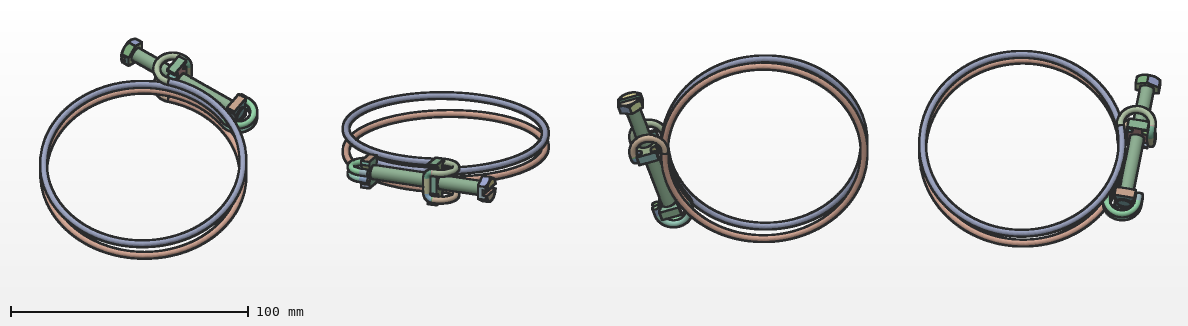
import cadquery as cq
import math


WIRE_DIAMETER = 3.0
WIRE_RADIUS = WIRE_DIAMETER / 2
RING_OUTER_RADIUS = 43.5
RING_RADIUS = RING_OUTER_RADIUS - WIRE_RADIUS
RING_END_HEIGHT = WIRE_RADIUS

HOOK_CENTER_X = 16.7
BACK_Y = 54.0
SEAT_Y = BACK_Y - WIRE_RADIUS
LEFT_HOOK_HEIGHT = 6.0
CROSSBAR_X = -13.45
CROSSBAR_BEND = 2.6
RIGHT_WIRE_END_X = 13.1

HOOK_RADIUS = (HOOK_CENTER_X**2 + SEAT_Y**2 - RING_RADIUS**2) / (2 * (RING_RADIUS + SEAT_Y))
HOOK_CENTER_Y = SEAT_Y - HOOK_RADIUS
JOINT_ANGLE = math.degrees(math.atan2(HOOK_CENTER_Y, HOOK_CENTER_X))
JOINT_X = RING_RADIUS * math.cos(math.radians(JOINT_ANGLE))
JOINT_Y = RING_RADIUS * math.sin(math.radians(JOINT_ANGLE))

SCREW_Y = 46.7
SHANK_RADIUS = 3.0
SHANK_END_X = 17.7
HEAD_FACE_X = -40.5
HEAD_THICKNESS = 4.1
HEAD_ACROSS_FLATS = 9.9
HEAD_FACE_RADIUS = 4.9
HEAD_CHAMFER = 0.8
SLOT_WIDTH = 2.3
SLOT_DEPTH = HEAD_THICKNESS / 2

BLOCK_WIDTH = 8.6
LEFT_BLOCK_X = -15.3
LEFT_BLOCK_THICKNESS = 4.0
LEFT_BLOCK_HEIGHT = 18.0
GROOVE_RADIUS = 1.95
GROOVE_CENTER_DEPTH = 0.4
RIGHT_BLOCK_X = 15.3
RIGHT_BLOCK_THICKNESS = 3.8
RIGHT_BLOCK_HEIGHT = 12.0
HOLLOW_HEIGHT = 8.6
HOLLOW_DEPTH = 1.0


def make_screw():
    """Slotted hexagon-head screw."""
    head_back_x = HEAD_FACE_X + HEAD_THICKNESS
    corner_radius = HEAD_ACROSS_FLATS / math.sqrt(3)
    head = (
        cq.Workplane("YZ", origin=(HEAD_FACE_X, SCREW_Y, 0))
        .transformed(rotate=(0, 0, 90))
        .polygon(6, 2 * corner_radius)
        .extrude(HEAD_THICKNESS)
    )
    envelope = (
        cq.Workplane("YZ", origin=(HEAD_FACE_X, SCREW_Y, 0))
        .circle(corner_radius)
        .extrude(HEAD_THICKNESS)
        .faces("<X")
        .chamfer(HEAD_CHAMFER, corner_radius - HEAD_FACE_RADIUS)
    )
    slot = cq.Workplane("XY").box(2 * SLOT_DEPTH, 2 * HEAD_ACROSS_FLATS, SLOT_WIDTH)
    slot = slot.translate((HEAD_FACE_X, SCREW_Y, 0))
    shank = (
        cq.Workplane("YZ", origin=(head_back_x, SCREW_Y, 0))
        .circle(SHANK_RADIUS)
        .extrude(SHANK_END_X - head_back_x)
    )
    return head.intersect(envelope).cut(slot).union(shank)


def make_drilled_block(center_x, thickness, height):
    """Rectangular block with the screw hole along X."""
    return (
        cq.Workplane("XY")
        .box(thickness, BLOCK_WIDTH, height)
        .faces(">X")
        .workplane()
        .hole(2 * SHANK_RADIUS)
        .translate((center_x, SCREW_Y, 0))
    )


def make_left_block():
    """Tall block with a round-bottomed groove on each side of both ends."""
    block = make_drilled_block(LEFT_BLOCK_X, LEFT_BLOCK_THICKNESS, LEFT_BLOCK_HEIGHT)
    groove_length = 4 * GROOVE_RADIUS
    groove_bottom_y = BLOCK_WIDTH / 2 - GROOVE_CENTER_DEPTH - GROOVE_RADIUS
    groove_middle_y = groove_bottom_y + groove_length / 2
    grooves = (
        cq.Workplane("YZ", origin=(LEFT_BLOCK_X, SCREW_Y, 0))
        .pushPoints([(sy * groove_middle_y, sz * LEFT_HOOK_HEIGHT) for sy in (-1, 1) for sz in (-1, 1)])
        .slot2D(groove_length, 2 * GROOVE_RADIUS)
        .extrude(LEFT_BLOCK_THICKNESS, both=True)
    )
    return block.cut(grooves)


def make_right_block():
    """Short block with a shallow hollow on both sides where the two wire ends lie."""
    block = make_drilled_block(RIGHT_BLOCK_X, RIGHT_BLOCK_THICKNESS, RIGHT_BLOCK_HEIGHT)
    hollow_radius = ((HOLLOW_HEIGHT / 2) ** 2 + HOLLOW_DEPTH**2) / (2 * HOLLOW_DEPTH)
    hollow_offset_y = BLOCK_WIDTH / 2 - HOLLOW_DEPTH + hollow_radius
    hollows = (
        cq.Workplane("YZ", origin=(RIGHT_BLOCK_X, SCREW_Y, 0))
        .pushPoints([(-hollow_offset_y, 0), (hollow_offset_y, 0)])
        .circle(hollow_radius)
        .extrude(RIGHT_BLOCK_THICKNESS, both=True)
    )
    return block.cut(hollows)


def sweep_wire(path_edges, start, direction):
    """Round wire swept along connected edges from a start point."""
    profile = cq.Workplane(cq.Plane(origin=start, normal=direction)).circle(WIRE_RADIUS)
    return profile.sweep(cq.Workplane(cq.Wire.assembleEdges(path_edges)))


def hook_arc(side, height):
    """Centre line of a hook, from its ring joint over the outer side to the seat."""
    middle_x = HOOK_CENTER_X + HOOK_RADIUS
    return cq.Edge.makeThreePointArc(
        cq.Vector(side * JOINT_X, JOINT_Y, height),
        cq.Vector(side * middle_x, HOOK_CENTER_Y, height),
        cq.Vector(side * HOOK_CENTER_X, SEAT_Y, height),
    )


def joint_direction(side):
    """Direction in which a hook leaves the ring."""
    return (side * JOINT_Y, -JOINT_X, 0)


def make_left_hook():
    """Both left hook arms joined by a crossbar, as one bent wire."""
    bend_start_x = CROSSBAR_X - CROSSBAR_BEND
    bar_half = LEFT_HOOK_HEIGHT - CROSSBAR_BEND
    bend_offset = CROSSBAR_BEND * math.sin(math.radians(45))

    def arm_end(level):
        seat = cq.Vector(-HOOK_CENTER_X, SEAT_Y, level * LEFT_HOOK_HEIGHT)
        bend_start = cq.Vector(bend_start_x, SEAT_Y, level * LEFT_HOOK_HEIGHT)
        bend_middle = cq.Vector(bend_start_x + bend_offset, SEAT_Y, level * (bar_half + bend_offset))
        bend_end = cq.Vector(CROSSBAR_X, SEAT_Y, level * bar_half)
        return [
            cq.Edge.makeLine(seat, bend_start),
            cq.Edge.makeThreePointArc(bend_start, bend_middle, bend_end),
        ]

    crossbar = cq.Edge.makeLine(
        cq.Vector(CROSSBAR_X, SEAT_Y, bar_half), cq.Vector(CROSSBAR_X, SEAT_Y, -bar_half)
    )
    path = [hook_arc(-1, LEFT_HOOK_HEIGHT), *arm_end(1), crossbar]
    path += [*reversed(arm_end(-1)), hook_arc(-1, -LEFT_HOOK_HEIGHT)]
    return sweep_wire(path, (-JOINT_X, JOINT_Y, LEFT_HOOK_HEIGHT), joint_direction(-1))


def make_upper_strand():
    """Ring wire of a little over one turn, ending in its right hook."""
    turns = 1 + 2 * (90 - JOINT_ANGLE) / 360
    rise = LEFT_HOOK_HEIGHT - RING_END_HEIGHT
    helix = cq.Wire.makeHelix(rise / turns, rise, RING_RADIUS)
    ring = (
        cq.Workplane("XZ")
        .center(RING_RADIUS, 0)
        .circle(WIRE_RADIUS)
        .sweep(cq.Workplane(helix), isFrenet=True)
        .rotate((0, 0, 0), (0, 0, 1), JOINT_ANGLE)
        .translate((0, 0, RING_END_HEIGHT))
    )
    straight_end = cq.Edge.makeLine(
        cq.Vector(HOOK_CENTER_X, SEAT_Y, RING_END_HEIGHT),
        cq.Vector(RIGHT_WIRE_END_X, SEAT_Y, RING_END_HEIGHT),
    )
    hook = sweep_wire(
        [hook_arc(1, RING_END_HEIGHT), straight_end],
        (JOINT_X, JOINT_Y, RING_END_HEIGHT),
        joint_direction(1),
    )
    return ring.union(hook)


screw = make_screw()
left_block = make_left_block()
right_block = make_right_block()
left_hook = make_left_hook()
upper_strand = make_upper_strand()
strands = [upper_strand, upper_strand.mirror("XY")]

result = cq.Compound.makeCompound(
    [
        screw.solids().val(),
        left_block.solids().val(),
        right_block.solids().val(),
        left_hook.solids().val(),
        *[strand.solids().val() for strand in strands],
    ]
)